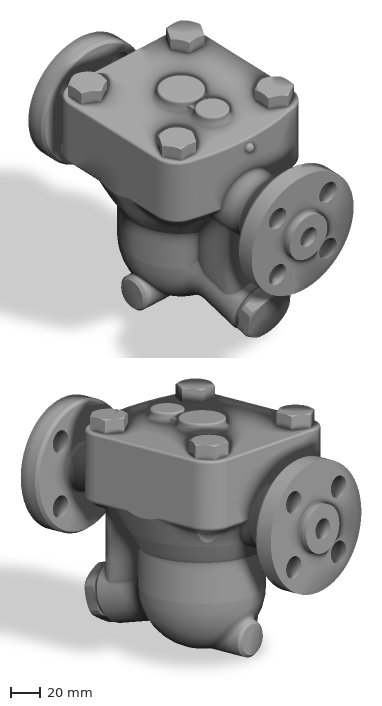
import cadquery as cq
import math


fillet_standoff = 1 - math.sqrt(0.5)

pipe_length = 239.0
pipe_centre_x = 10.0
pipe_radius = 48.0 / 2
raised_face_radius = 35.0 / 2
raised_face_height = 6.0
root_radius = 38.0 / 2
face_fillet = root_radius - raised_face_radius
flange_radius = 95.0 / 2
flange_thickness = 15.3
flange_chamfer_length = 2.5
flange_chamfer_depth = 1.7
neck_radius = 33.0 / 2
neck_flare = root_radius - neck_radius
weld_radius = 32.0 / 2
neck_taper_start = 90.8
neck_taper_end = 84.4
weld_end = 79.3
pipe_shoulder = 74.5
bore_diameter = 15.0
flange_hole_diameter = 16.0
flange_hole_offset = 23.5

half_width = 125.0 / 2
left_corner_radius = 17.2
right_corner_radius = 18.5
right_corner_x = 44.0
right_reach = 68.5
cover_top = 51.5
head_bottom = 0.7
cover_fillet = 1.7
bottom_fillet = 2.9

bolt_offset = 45.5
bolt_across_flats = 24.0
bolt_head_height = 10.3
spot_face_radius = 9.5
hex_chamfer_angle = math.radians(30)

large_boss_radius = 33.0 / 2
small_boss_radius = 24.0 / 2
boss_spacing = 31.5
boss_height = 6.7
boss_foot_fillet = 3.3
boss_edge_fillet = 1.5
bridge_half_width = 7.2
bridge_height = 3.3
bridge_foot_fillet = 2.9

pin_radius = 7.0 / 2
pin_z = 43.7
pin_end = 72.5

bowl_radius = 44.0
bowl_bottom = -106.5
dome_centre_z = bowl_bottom + bowl_radius
funnel_bottom = -33.2
funnel_line_z = -19.1
funnel_line_radius = 52.5
funnel_top = 3.8
funnel_top_radius = 64.5

drain_radius = 26.0 / 2
drain_face_radius = 22.0 / 2
drain_chamfer = drain_radius - drain_face_radius
drain_z = -92.7
drain_reach = 45.6
drain_fillet = 3.5

web_half_width = 19.8
web_end = 77.5
web_corner_radius = 12.5
web_bottom = -76.5

strainer_tilt = 15.0
strainer_radius = 44.0 / 2
strainer_length = 79.8
strainer_chamfer = 1.5
strainer_fillet = 16.7
plug_collar_radius = 38.0 / 2
plug_collar_height = 3.0
plug_across_flats = 38.0
plug_hex_height = 9.3
plug_trim_radius = 41.8 / 2


def hex_head(across_flats, height, trim_radius):
    """Hexagon standing on XY with corners along X, trimmed round and chamfered on top."""
    chamfer_depth = trim_radius - across_flats / 2
    chamfer_height = chamfer_depth * math.tan(hex_chamfer_angle)
    corner_diameter = across_flats / math.cos(math.pi / 6)
    hexagon = cq.Workplane("XY").polygon(6, corner_diameter).extrude(height)
    trim = (
        cq.Workplane("XY").circle(trim_radius).extrude(height)
        .faces(">Z").chamfer(chamfer_height, chamfer_depth)
    )
    return hexagon.intersect(trim)


def pipe_half():
    """Right half of the pipe with its flange, starting at the middle of the pipe."""
    end = pipe_length / 2
    face = end - raised_face_height
    back = face - flange_thickness
    flare_standoff = neck_flare * fillet_standoff
    face_standoff = face_fillet * fillet_standoff
    flare_middle = (back - flare_standoff, neck_radius + flare_standoff)
    root_middle = (face + face_standoff, raised_face_radius + face_standoff)
    half = (
        cq.Workplane("XY")
        .lineTo(0, pipe_radius)
        .lineTo(pipe_shoulder, pipe_radius)
        .lineTo(weld_end, weld_radius)
        .lineTo(neck_taper_end, weld_radius)
        .lineTo(neck_taper_start, neck_radius)
        .lineTo(back - neck_flare, neck_radius)
        .threePointArc(flare_middle, (back, root_radius))
        .lineTo(back, flange_radius - flange_chamfer_depth)
        .lineTo(back + flange_chamfer_length, flange_radius)
        .lineTo(face, flange_radius)
        .lineTo(face, root_radius)
        .threePointArc(root_middle, (face + face_fillet, raised_face_radius))
        .lineTo(end, raised_face_radius)
        .lineTo(end, 0)
        .close()
        .revolve(360, (0, 0, 0), (1, 0, 0))
    )
    hole_spacing = 2 * flange_hole_offset
    holes = (
        cq.Workplane("YZ", origin=(back, 0, 0))
        .rect(hole_spacing, hole_spacing, forConstruction=True).vertices()
        .circle(flange_hole_diameter / 2).extrude(flange_thickness)
    )
    return half.cut(holes)


def pipe():
    right = pipe_half()
    return right.union(right.mirror("YZ")).translate((pipe_centre_x, 0, 0))


def pipe_bores():
    """Blind bores in the two pipe ends, reaching in to the shoulder of the pipe."""
    depth = pipe_length / 2 - pipe_shoulder
    bore = cq.Workplane("YZ", origin=(pipe_shoulder, 0, 0)).circle(bore_diameter / 2).extrude(depth)
    return bore.union(bore.mirror("YZ")).translate((pipe_centre_x, 0, 0))


right_corner_y = half_width - right_corner_radius
crown_gap = right_reach - right_corner_x
bulge_radius = (
    (crown_gap ** 2 + right_corner_y ** 2 - right_corner_radius ** 2)
    / (2 * (crown_gap - right_corner_radius))
)
bulge_centre_x = right_reach - bulge_radius


def head_prism(bottom, top):
    """Square outline with round corners and a bulged right side."""
    def on_right_corner(angle):
        return (
            right_corner_x + right_corner_radius * math.cos(angle),
            right_corner_y + right_corner_radius * math.sin(angle),
        )

    tangent_angle = math.atan2(right_corner_y, right_corner_x - bulge_centre_x)
    tangent_x, tangent_y = on_right_corner(tangent_angle)
    middle_x, middle_y = on_right_corner((math.pi / 2 + tangent_angle) / 2)
    left_corner = half_width - left_corner_radius
    left_middle = half_width - left_corner_radius * fillet_standoff
    return (
        cq.Workplane("XY", origin=(0, 0, bottom))
        .moveTo(-left_corner, -half_width)
        .lineTo(right_corner_x, -half_width)
        .threePointArc((middle_x, -middle_y), (tangent_x, -tangent_y))
        .threePointArc((right_reach, 0), (tangent_x, tangent_y))
        .threePointArc((middle_x, middle_y), (right_corner_x, half_width))
        .lineTo(-left_corner, half_width)
        .threePointArc((-left_middle, left_middle), (-half_width, left_corner))
        .lineTo(-half_width, -left_corner)
        .threePointArc((-left_middle, -left_middle), (-left_corner, -half_width))
        .close()
        .extrude(top - bottom)
    )


def head():
    return (
        head_prism(head_bottom, cover_top)
        .faces(">Z").edges().fillet(cover_fillet)
        .faces("<Z").edges().fillet(bottom_fillet)
    )


def bolt_heads():
    """Four bolt heads; the two on one diagonal are turned a quarter against the others."""
    heads = cq.Workplane("XY")
    head = hex_head(bolt_across_flats, bolt_head_height, bolt_across_flats / math.sqrt(3))
    for side_x in (-1, 1):
        for side_y in (-1, 1):
            turn = 0 if side_x == side_y else 90
            place = (side_x * bolt_offset, side_y * bolt_offset, cover_top)
            heads = heads.union(head.rotate((0, 0, 0), (0, 0, 1), turn).translate(place))
    return heads


def spot_faces():
    """Vertical clearances under the head, below the four bolts."""
    spacing = 2 * bolt_offset
    return (
        cq.Workplane("XY", origin=(0, 0, head_bottom))
        .rect(spacing, spacing, forConstruction=True).vertices()
        .circle(spot_face_radius).extrude(funnel_bottom - head_bottom)
    )


def boss_bridge():
    """Low bridge along X with a concave fillet on both sides."""
    standoff = bridge_foot_fillet * fillet_standoff
    foot = bridge_half_width + bridge_foot_fillet
    return (
        cq.Workplane("YZ")
        .moveTo(-foot, 0)
        .lineTo(foot, 0)
        .threePointArc((bridge_half_width + standoff, standoff), (bridge_half_width, bridge_foot_fillet))
        .lineTo(bridge_half_width, bridge_height)
        .lineTo(-bridge_half_width, bridge_height)
        .lineTo(-bridge_half_width, bridge_foot_fillet)
        .threePointArc((-bridge_half_width - standoff, standoff), (-foot, 0))
        .close()
        .extrude(boss_spacing)
    )


def boss_foot(radius):
    """Ring of concave fillet around the foot of a boss."""
    standoff = boss_foot_fillet * fillet_standoff
    return (
        cq.Workplane("XZ")
        .lineTo(radius + boss_foot_fillet, 0)
        .threePointArc((radius + standoff, standoff), (radius, boss_foot_fillet))
        .lineTo(0, boss_foot_fillet)
        .close()
        .revolve(360, (0, 0, 0), (0, 1, 0))
    )


def cover_boss(radius):
    disc = cq.Workplane("XY").circle(radius).extrude(boss_height)
    return disc.faces(">Z").edges().fillet(boss_edge_fillet).union(boss_foot(radius))


def cover_bosses():
    small_boss = cover_boss(small_boss_radius).translate((boss_spacing, 0, 0))
    pad = cover_boss(large_boss_radius).union(small_boss).union(boss_bridge())
    return pad.translate((0, 0, cover_top))


def pin():
    tip_centre = pin_end - pin_radius
    rod = cq.Workplane("YZ", origin=(bolt_offset, 0, pin_z)).circle(pin_radius)
    rod = rod.extrude(tip_centre - bolt_offset)
    return rod.union(cq.Workplane("XY").sphere(pin_radius).translate((tip_centre, 0, pin_z)))


def funnel():
    """Cone in two slopes that widens from the bowl to the head and stays inside its outline."""
    cone = (
        cq.Workplane("XZ")
        .moveTo(0, funnel_bottom)
        .lineTo(bowl_radius, funnel_bottom)
        .lineTo(funnel_line_radius, funnel_line_z)
        .lineTo(funnel_top_radius, funnel_top)
        .lineTo(0, funnel_top)
        .close()
        .revolve(360, (0, 0, 0), (0, 1, 0))
    )
    return cone.intersect(head_prism(funnel_bottom, funnel_top))


def drain_boss():
    """Horizontal boss along -X, starting on the bowl axis."""
    return cq.Workplane("YZ", origin=(0, 0, drain_z)).circle(drain_radius).extrude(-drain_reach)


def bowl():
    """Barrel and dome with two drain bosses; the one along -X has a filleted foot."""
    barrel_height = funnel_bottom - dome_centre_z
    barrel = cq.Workplane("XY", origin=(0, 0, dome_centre_z)).circle(bowl_radius).extrude(barrel_height)
    dome = cq.Workplane("XY").sphere(bowl_radius).translate((0, 0, dome_centre_z))
    filleted = dome.union(drain_boss()).edges("%BSPLINE").fillet(drain_fillet)
    filleted = filleted.faces("<X").edges().chamfer(drain_chamfer)
    front_drain = drain_boss().faces("<X").chamfer(drain_chamfer).rotate((0, 0, 0), (0, 0, 1), 90)
    return barrel.union(filleted).union(front_drain)


def web():
    """Upright plate from inside the strainer boss up to the pipe axis."""
    return (
        cq.Workplane("XY", origin=(web_end / 2, 0, web_bottom))
        .rect(web_end, 2 * web_half_width).extrude(-web_bottom)
        .edges("|Z and >X").fillet(web_corner_radius)
    )


def strainer_boss():
    """Boss with a concave fillet onto the dome and a hexagon plug in its end."""
    fillet_centre_r = strainer_radius + strainer_fillet
    centre_distance = bowl_radius + strainer_fillet
    fillet_centre_z = math.sqrt(centre_distance ** 2 - fillet_centre_r ** 2)
    on_dome = bowl_radius / centre_distance
    dome_angle = math.atan2(fillet_centre_z, fillet_centre_r)
    middle = dome_angle / 2
    fillet_middle = (
        fillet_centre_r - strainer_fillet * math.cos(middle),
        fillet_centre_z - strainer_fillet * math.sin(middle),
    )
    collar_end = strainer_length + plug_collar_height
    boss = (
        cq.Workplane("XZ")
        .lineTo(fillet_centre_r * on_dome, fillet_centre_z * on_dome)
        .threePointArc(fillet_middle, (strainer_radius, fillet_centre_z))
        .lineTo(strainer_radius, strainer_length - strainer_chamfer)
        .lineTo(strainer_radius - strainer_chamfer, strainer_length)
        .lineTo(plug_collar_radius, strainer_length)
        .lineTo(plug_collar_radius, collar_end)
        .lineTo(0, collar_end)
        .close()
        .revolve(360, (0, 0, 0), (0, 1, 0))
    )
    plug = hex_head(plug_across_flats, plug_hex_height, plug_trim_radius)
    boss = boss.union(plug.translate((0, 0, collar_end)))
    return boss.rotate((0, 0, 0), (0, 1, 0), 90 + strainer_tilt).translate((0, 0, dome_centre_z))


lower = funnel().union(bowl()).cut(spot_faces())
result = (
    head().union(lower).union(pipe()).union(web()).union(strainer_boss())
    .union(cover_bosses()).union(bolt_heads()).union(pin())
    .cut(pipe_bores())
)